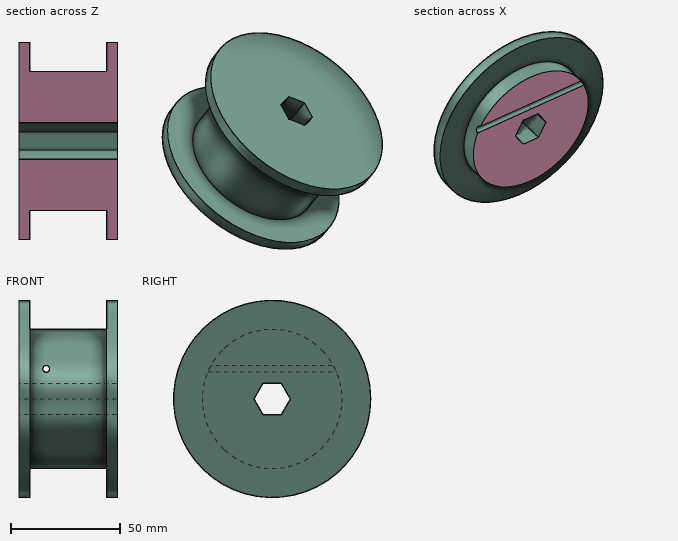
import cadquery as cq
import math

overall_length = 45.0
flange_diameter = 90.0
flange_thickness = 5.0
drum_diameter = 63.66

hex_across_flats = 14.29

cord_hole_diameter = 3.0
cord_hole_from_end = 12.45
cord_hole_height = 13.75


def disc(start_x, diameter, length):
    """Solid cylinder along +X, starting at start_x."""
    return cq.Workplane("YZ", origin=(start_x, 0, 0)).circle(diameter / 2).extrude(length)


def spool_body():
    far_flange_start = overall_length - flange_thickness
    near_flange = disc(0, flange_diameter, flange_thickness)
    far_flange = disc(far_flange_start, flange_diameter, flange_thickness)
    drum = disc(0, drum_diameter, overall_length)
    return drum.union(near_flange).union(far_flange)


def hex_bore():
    hex_across_corners = hex_across_flats / math.cos(math.pi / 6)
    return cq.Workplane("YZ").polygon(6, hex_across_corners).extrude(overall_length)


def cord_hole():
    return (
        cq.Workplane("XZ", origin=(cord_hole_from_end, 0, cord_hole_height))
        .circle(cord_hole_diameter / 2)
        .extrude(drum_diameter / 2, both=True)
    )


result = spool_body().cut(hex_bore()).cut(cord_hole())